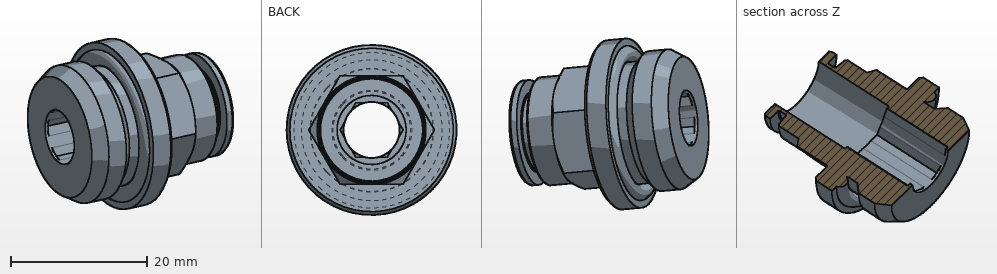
import cadquery as cq
import math

length = 25.3

plug_diameter = 20.7
plug_face_diameter = 18.15
neck_diameter = 18.0
plug_taper_end = 2.18
plug_shoulder = 5.15
neck_start = 6.53

flange_diameter = 25.0
flange_front = 8.5
flange_back = 12.0
flange_chamfer = 0.5

hex_flats = 16.0
hex_end = 18.5
hex_chamfer_angle = 30.0
collar_diameter = hex_flats
collar_end = 22.47
collar_chamfer = 0.28
collar_cone_end = 22.67

ring_diameter = 15.5
ring_stem_diameter = 11.4
ring_front = 24.04
ring_chamfer_width = 0.25
ring_chamfer_length = 0.35
ring_root_chamfer = 0.18

seal_section_radius = 1.25
seal_front = 7.62

bore_diameter = 8.2
tube_diameter = 10.15
tube_stop = flange_back
key_flats = 8.0
key_start = 0.5


def corner_diameter(flats):
    """Across-corners size of a regular hexagon."""
    return flats / math.cos(math.radians(30))


def plane_at(y):
    """Plane across the axis at height y, facing +Y, with its local X along global X."""
    return cq.Workplane(cq.Plane(origin=(0, y, 0), xDir=(1, 0, 0), normal=(0, 1, 0)))


def cylinder(diameter, start, end):
    return plane_at(start).circle(diameter / 2).extrude(end - start)


def hexagon(flats, start, end):
    """Hexagonal prism with two corners on the X axis."""
    return plane_at(start).polygon(6, corner_diameter(flats)).extrude(end - start)


def turned(profile):
    """Revolve a closed (radius, y) outline about the Y axis."""
    return cq.Workplane("XY").polyline(profile).close().revolve(360, (0, 0, 0), (0, 1, 0))


def turned_body():
    plug = plug_diameter / 2
    neck = neck_diameter / 2
    flange = flange_diameter / 2
    collar = collar_diameter / 2
    stem = ring_stem_diameter / 2
    ring = ring_diameter / 2
    return turned([
        (0, 0),
        (plug_face_diameter / 2, 0),
        (plug, plug_taper_end),
        (plug, plug_shoulder),
        (neck, neck_start),
        (neck, flange_front),
        (flange, flange_front),
        (flange, flange_back - flange_chamfer),
        (flange - flange_chamfer, flange_back),
        (collar, flange_back),
        (collar, collar_end - collar_chamfer),
        (collar - collar_chamfer, collar_end),
        (stem, collar_cone_end),
        (stem, ring_front - ring_root_chamfer),
        (stem + ring_root_chamfer, ring_front),
        (ring, ring_front),
        (ring, length - ring_chamfer_length),
        (ring - ring_chamfer_width, length),
        (0, length),
    ])


def wrench_hexagon():
    """Hexagon whose back corners are turned off by a cone."""
    corner = corner_diameter(hex_flats) / 2
    inner = collar_diameter / 2
    cone_length = (corner - inner) * math.tan(math.radians(hex_chamfer_angle))
    envelope = turned([
        (0, flange_back),
        (corner, flange_back),
        (corner, hex_end - cone_length),
        (inner, hex_end),
        (0, hex_end),
    ])
    return hexagon(hex_flats, flange_back, hex_end).intersect(envelope)


def seal():
    ring_radius = neck_diameter / 2 + seal_section_radius
    center_y = seal_front + seal_section_radius
    section = cq.Workplane("XY").center(ring_radius, center_y).circle(seal_section_radius)
    return section.revolve(360, (-ring_radius, 0, 0), (-ring_radius, 1, 0))


def passages():
    """Through bore, internal hexagon key and tube socket."""
    bore = cylinder(bore_diameter, 0, length)
    key = hexagon(key_flats, key_start, tube_stop)
    tube_socket = cylinder(tube_diameter, tube_stop, length)
    return bore.union(key).union(tube_socket)


result = turned_body().union(wrench_hexagon()).union(seal()).cut(passages())